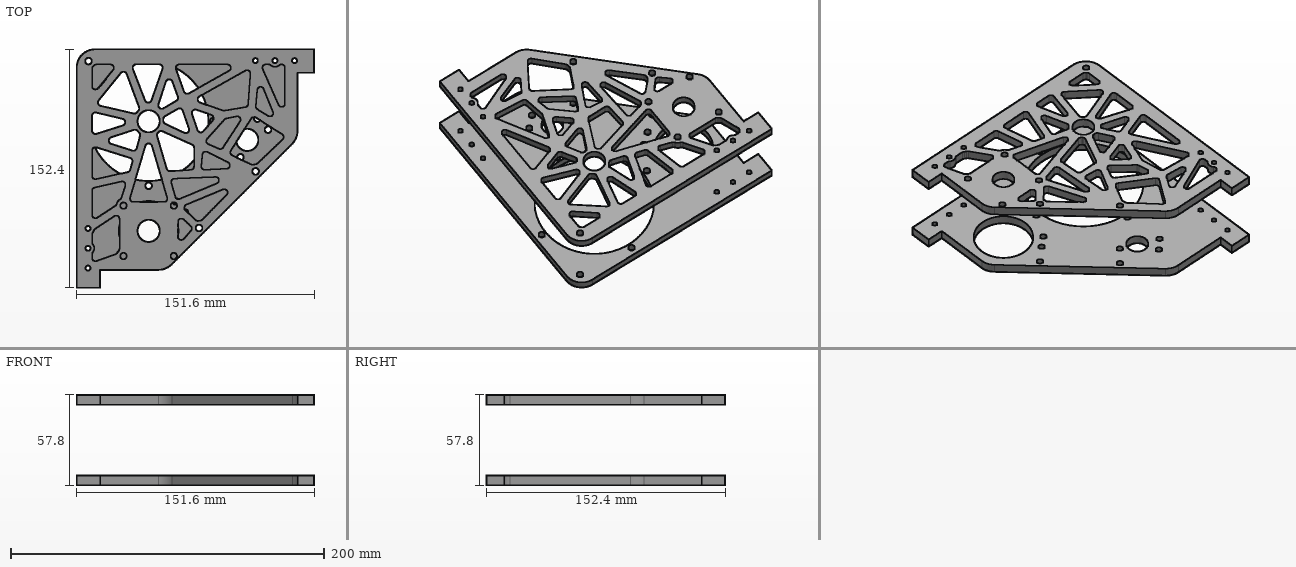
import cadquery as cq
import math

LENGTH_X = 151.6
LENGTH_Y = 152.4
HEIGHT = 57.8
THICKNESS = 6.4

BODY_RIGHT = 141.1
BODY_BOTTOM = 11.5
TAB_WIDTH = 15.1
DIAGONAL_START_X = 57.2
CORNER_RADIUS = 11.9

HUB = (46.0, 106.4)
MOTOR = (HUB[0], 36.4)
IDLER = (109.0, 94.5)
SHAFT_BORE = 14.0
HUB_OPENING = 76.2
MOTOR_OPENING = 38.0

BOLT_HOLE = 4.1
TAB_HOLE = 3.0
TAB_HOLE_INSET = 7.3
TAB_HOLE_PITCH_LEFT = 12.6
TAB_HOLE_PITCH_TOP = 12.5
TAB_HOLE_COUNT = 3
CORNER_BOLT_INSET = 7.6
EDGE_BOLTS = [
    (CORNER_BOLT_INSET, LENGTH_Y - CORNER_BOLT_INSET),
    (114.3, 74.4),
    (78.2, 38.3),
]

MOTOR_BOLT_SPACING = 32.2

HUB_BOLT_RADIUS = 41.1
LOWER_BOLTS = [(69.2, 48.2), (63.1, 55.3), (115.4, 108.0), (122.2, 101.0), (104.5, 83.4)]

WALL = 2.5
WINDOW_RADIUS = 2.1
LEFT = 9.9
TOP = LENGTH_Y - 9.8

WINDOWS = {
    "corner": [(LEFT, 122.8), (LEFT, TOP), (26.2, TOP)],
    "upper left": [(12.0, 117.0), (30.6, 140.0), (41.8, 110.2)],
    "above hub": [(34.9, TOP), (55.8, TOP), (45.9, 114.3)],
    "left of hub": [(LEFT, 97.5), (LEFT, 112.5), (36.9, 106.0)],
    "upper right of hub": [(50.6, 111.9), (59.0, 137.5), (65.2, 120.4)],
    "top edge": [(62.5, TOP), (104.5, TOP), (69.5, 123.0)],
    "right of hub": [(52.0, 107.0), (66.9, 115.5), (73.3, 97.0)],
    "lower right of hub": [(50.0, 102.1), (75.0, 90.8), (75.0, 75.5), (58.0, 74.5)],
    "lower left of hub": [(15.8, 94.0), (41.9, 102.5), (37.8, 87.0)],
    "left edge": [(LEFT, 90.5), (36.1, 82.3), (33.8, 74.2), (LEFT, 68.9)],
    "below hub": [(46.0, 97.5), (33.4, 54.9), (58.7, 54.9)],
    "upper left of motor": [(LEFT, 63.7), (32.3, 68.7), (27.6, 54.3), (LEFT, 42.7)],
    "left of motor": [(LEFT, 36.4), (27.5, 48.0), (27.5, 22.4), (LEFT, 16.2)],
    "right of motor": [(64.8, 27.0), (64.8, 47.1), (74.4, 38.1)],
    "upper right of motor": [(59.7, 69.6), (100.6, 71.3), (63.7, 56.0)],
    "diagonal edge": [(67.2, 52.0), (103.2, 66.9), (78.0, 41.3)],
    "lower left of idler": [(80.6, 88.2), (79.4, 75.3), (104.0, 76.5)],
    "left of idler": [(81.4, 93.0), (95.0, 108.0), (107.1, 110.5), (92.5, 88.1)],
    "idler": [(112.6, 109.9), (97.2, 85.6), (113.7, 77.7), (133.5, 96.6)],
    "between hub and idler": [(72.4, 115.0), (89.0, 109.4), (78.5, 97.2)],
    "above idler": [(74.4, 120.0), (111.3, 140.7), (109.4, 115.7), (93.9, 113.1)],
    "right of idler": [(116.1, 135.2), (114.3, 114.8), (127.9, 106.2)],
    "right edge": [(117.5, TOP), (133.0, TOP), (133.0, 107.6)],
}


def tab_hole_centres():
    """Rows of holes along the left and top edges, one pitch apart from the end of each tab."""
    centres = []
    for i in range(1, TAB_HOLE_COUNT + 1):
        centres.append((TAB_HOLE_INSET, i * TAB_HOLE_PITCH_LEFT))
        centres.append((LENGTH_X - i * TAB_HOLE_PITCH_TOP, LENGTH_Y - TAB_HOLE_INSET))
    return centres


def motor_bolt_centres():
    half = MOTOR_BOLT_SPACING / 2
    return [(MOTOR[0] + sx * half, MOTOR[1] + sy * half) for sx in (-1, 1) for sy in (-1, 1)]


def hub_bolt_centres():
    """Four bolts a quarter turn apart around the large opening."""
    centres = []
    for quarter in range(4):
        angle = quarter * math.pi / 2
        x = HUB[0] + HUB_BOLT_RADIUS * math.cos(angle)
        y = HUB[1] + HUB_BOLT_RADIUS * math.sin(angle)
        centres.append((x, y))
    return centres


def discs(centres, diameter):
    return cq.Workplane("XY").pushPoints(centres).circle(diameter / 2).extrude(THICKNESS)


def blank_plate():
    """Plate outline with the holes that both plates share."""
    diagonal_end_y = BODY_BOTTOM + BODY_RIGHT - DIAGONAL_START_X
    plate = (
        cq.Workplane("XY")
        .polyline(
            [
                (0, 0),
                (TAB_WIDTH, 0),
                (TAB_WIDTH, BODY_BOTTOM),
                (DIAGONAL_START_X, BODY_BOTTOM),
                (BODY_RIGHT, diagonal_end_y),
                (BODY_RIGHT, LENGTH_Y - TAB_WIDTH),
                (LENGTH_X, LENGTH_Y - TAB_WIDTH),
                (LENGTH_X, LENGTH_Y),
                (0, LENGTH_Y),
            ]
        )
        .close()
        .extrude(THICKNESS)
    )
    rounded_corners = [(0, LENGTH_Y), (DIAGONAL_START_X, BODY_BOTTOM), (BODY_RIGHT, diagonal_end_y)]
    for x, y in rounded_corners:
        corner_edge = cq.selectors.NearestToPointSelector((x, y, THICKNESS / 2))
        plate = plate.edges("|Z").edges(corner_edge).fillet(CORNER_RADIUS)
    return plate.cut(discs(EDGE_BOLTS, BOLT_HOLE)).cut(discs(tab_hole_centres(), TAB_HOLE))


def hole_bosses():
    """Material kept around the holes of the upper plate, one wall wide."""
    bolts = EDGE_BOLTS + motor_bolt_centres()
    return [
        discs([HUB], SHAFT_BORE + 2 * WALL),
        discs(bolts, BOLT_HOLE + 2 * WALL),
        discs(tab_hole_centres(), TAB_HOLE + 2 * WALL),
    ]


def window(corners, bosses):
    """Cutter for one window: a polygon that clears the bosses and has rounded corners."""
    cutter = cq.Workplane("XY").polyline(corners).close().extrude(THICKNESS)
    for boss in bosses:
        cutter = cutter.cut(boss)
    outline = cutter.faces("<Z").wires().val()
    shrunk = outline.offset2D(-WINDOW_RADIUS)[0]
    rounded = shrunk.offset2D(WINDOW_RADIUS)[0]
    return cq.Workplane("XY").add(rounded).toPending().extrude(THICKNESS)


def make_upper_plate():
    plate = blank_plate()
    bosses = hole_bosses()
    for corners in WINDOWS.values():
        plate = plate.cut(window(corners, bosses))
    plate = plate.cut(discs([HUB, MOTOR], SHAFT_BORE)).cut(discs(motor_bolt_centres(), BOLT_HOLE))
    return plate.translate((0, 0, HEIGHT - THICKNESS))


def make_lower_plate():
    plate = blank_plate()
    plate = plate.cut(discs([HUB], HUB_OPENING))
    plate = plate.cut(discs([MOTOR], MOTOR_OPENING))
    plate = plate.cut(discs([IDLER], SHAFT_BORE))
    return plate.cut(discs(hub_bolt_centres() + LOWER_BOLTS, BOLT_HOLE))


upper_plate = make_upper_plate()
lower_plate = make_lower_plate()

result = cq.Compound.makeCompound([upper_plate.val(), lower_plate.val()])